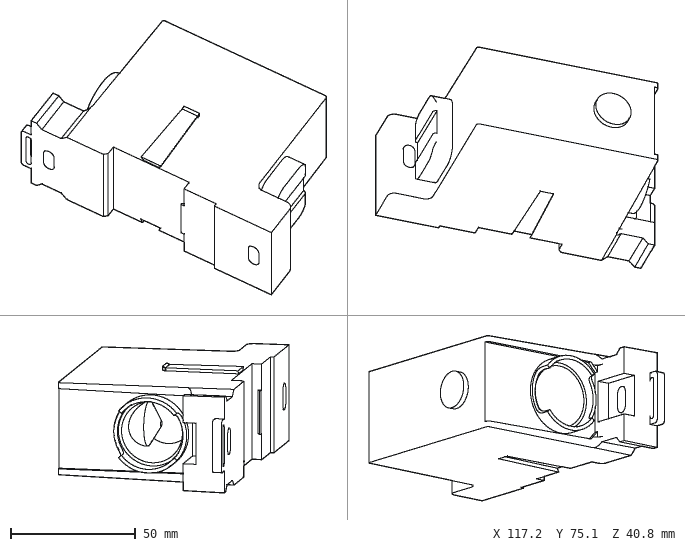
import cadquery as cq
import math

length = 117.2
width = 39.2
mid_z = width / 2
overlap = 1.2

body_left = 21.5
body_right = 99.9
body_top = 72.8
left_lean = 1.0
right_lean = 0.5
side_lean = 0.76
wall_draft = left_lean / body_top
right_draft = right_lean / body_top
side_draft = side_lean / body_top
body_corner_radius = 0.9

foot_left = 4.7
foot_top = 17.0
foot_root_radius = 3.0
foot_corner_radius = 2.9
slot_length = 10.8
slot_width = 4.9
left_slot_x = 13.0
right_slot_x = 108.9

rail_left = 40.0
rail_right = 75.5
rail_depth = 5.4
rail_lead_in = 1.4
rail_step_x = 90.5
rail_step_depth = 1.4
tooth_reach = 1.5
tooth_width = 17.8
tooth_tip_height = 0.6
tooth_height = 1.5

notch_depth = 2.5
notch_start = 7.3
notch_end = 21.5
notch_slope_start = 2.5
notch_slope_end = 2.7
gap_width = 16.8
gap_floor = 11.7

latch_width = 21.3
latch_height = 3.8
latch_corner_radius = 1.4
latch_slot_width = 2.3
latch_slot_length = 16.9

recess_depth = 1.6
recess_rim_top = 3.2
recess_rim_bottom = 3.6
recess_corner_y = 20.4
recess_foot_rim = 7.3
root_relief_top = 20.0
root_relief_rim = 4.7

entry_y = 34.5
collar_front = 17.0
collar_radius = 15.4
collar_inner_radius = 13.8
bore_radius = 12.5
bore_end_radius = 10.0
bore_start = 24.4
bore_end = 52.2
collar_half_angle = 51.5
collar_step_radius = 2.3
lower_gap_front = 20.0
upper_gap_front = 22.6

screw_x = 42.4
screw_radius = 9.3
screw_shoulder_y = 40.0
screw_tip_y = 34.9
screw_tip_radius = 1.2
cap_radius = 7.5
cap_height = 2.3

plug_end = 107.6
plug_y = 31.4
plug_height = 23.7
plug_width = 31.2
plug_corner_radius = 6.5
plug_edge_radius = 1.4
plug_channel_width = 11.0
plug_channel_depth = 1.4

rib_x = 57.4
rib_start = 5.7
rib_end = 37.0
rib_half_width = 4.7
rib_end_half_width = 3.6
rib_height = 1.4
groove_depth = 1.8
dovetail_undercut = 0.88
lip_length = 1.2
lip_top = 40.8


def wall_x(y):
    """X of the left housing wall at height y."""
    return body_left + wall_draft * y


def box(x0, x1, y0, y1, z0, z1):
    return cq.Workplane("XY").box(x1 - x0, y1 - y0, z1 - z0, centered=False).translate((x0, y0, z0))


def fillet_at(solid, x, y, radius):
    """Round the edge along Z that passes through (x, y)."""
    reach = 0.2
    corner = cq.selectors.BoxSelector((x - reach, y - reach, 0), (x + reach, y + reach, width))
    return solid.edges("|Z").edges(corner).fillet(radius)


def housing():
    right_top = body_right - right_lean
    right_root = body_right - right_draft * foot_top
    outline = [
        (foot_left, 0),
        (rail_left - rail_lead_in, 0),
        (rail_left, rail_lead_in),
        (rail_left, rail_depth),
        (rail_right, rail_depth),
        (rail_right, rail_step_depth),
        (rail_step_x, rail_step_depth),
        (rail_step_x, 0),
        (length, 0),
        (length, foot_top),
        (right_root, foot_top),
        (right_top, body_top),
        (wall_x(body_top), body_top),
        (wall_x(foot_top), foot_top),
        (foot_left, foot_top),
    ]
    solid = cq.Workplane("XY").polyline(outline).close().extrude(width)
    for x, y, radius in (
        (wall_x(foot_top), foot_top, foot_root_radius),
        (right_root, foot_top, foot_root_radius),
        (length, foot_top, foot_corner_radius),
        (right_top, body_top, body_corner_radius),
        (wall_x(body_top), body_top, body_corner_radius),
    ):
        solid = fillet_at(solid, x, y, radius)

    drafted = (
        cq.Workplane("YZ")
        .polyline([(0, 0), (body_top, side_lean), (body_top, width - side_lean), (0, width)])
        .close()
        .extrude(length)
    )
    return solid.intersect(drafted)


def rail_tooth():
    tip_x = rail_right - tooth_reach
    root_x = rail_right + overlap
    outline = [
        (root_x, rail_step_depth),
        (tip_x, rail_step_depth),
        (tip_x, rail_step_depth + tooth_tip_height),
        (rail_right, rail_step_depth + tooth_height),
        (root_x, rail_step_depth + tooth_height),
    ]
    bottom = cq.Workplane("XY", origin=(0, 0, mid_z - tooth_width / 2))
    return bottom.polyline(outline).close().extrude(tooth_width)


def mounting_slots():
    return (
        cq.Workplane("XZ", origin=(0, -overlap, mid_z))
        .pushPoints([(left_slot_x, 0), (right_slot_x, 0)])
        .slot2D(slot_length, slot_width, 90)
        .extrude(-(foot_top + 2 * overlap))
    )


def side_notch():
    """Notch at the bottom Z face; its housing-side slope leans with the left wall."""
    height = foot_top + foot_root_radius

    def section(y):
        end = notch_end + wall_draft * y
        outline = [
            (notch_start, 0),
            (notch_start + notch_slope_start, notch_depth),
            (end - notch_slope_end, notch_depth),
            (end, 0),
        ]
        return cq.Wire.makePolygon([cq.Vector(x, y, z) for x, z in outline], close=True)

    return cq.Workplane(cq.Solid.makeLoft([section(0), section(height)], True))


def mirrored(solid):
    """Copy of a solid on the other side of the middle of the width."""
    return solid.mirror("XY", (0, 0, mid_z))


def latch_loop():
    loop = box(0, foot_left + overlap, 0, latch_height, mid_z - latch_width / 2, mid_z + latch_width / 2)
    return loop.edges("|Y and <X").fillet(latch_corner_radius)


def latch_slot():
    return (
        cq.Workplane("XZ", origin=(foot_left - latch_slot_width / 2, 0, mid_z))
        .slot2D(latch_slot_length, latch_slot_width, 90)
        .extrude(-latch_height)
    )


def left_wall_pocket(half_outline, depth):
    """Pocket in the left wall, from the (Y, Z) corners of its lower half; its floor leans with the wall."""
    outline = half_outline + [(y, width - z) for y, z in reversed(half_outline)]
    opening = cq.Workplane("YZ").polyline(outline).close().extrude(body_right)
    top = body_top + overlap
    in_front_of_floor = (
        cq.Workplane("XY")
        .polyline([(0, 0), (wall_x(0) + depth, 0), (wall_x(top) + depth, top), (0, top)])
        .close()
        .extrude(width)
    )
    return opening.intersect(in_front_of_floor)


def wall_recess():
    """Shallow recess, open at the top and narrowed by slopes at the foot."""
    corners = [
        (body_top + overlap, recess_rim_top),
        (recess_corner_y, recess_rim_bottom),
        (foot_top, recess_foot_rim),
    ]
    return left_wall_pocket(corners, recess_depth)


def root_relief():
    """Removes the rounded foot root between the two Z sides, flush with the left wall."""
    return left_wall_pocket([(root_relief_top, root_relief_rim), (foot_top, root_relief_rim)], 0)


def entry_disc(start, end, radius):
    return cq.Workplane("YZ", origin=(start, entry_y, mid_z)).circle(radius).extrude(end - start)


def collar_gap(direction, depth_x):
    """Sector removed from one Y side of the collar, down to depth_x."""
    reach = 2 * collar_radius
    half_angle = math.radians(90 - collar_half_angle)
    y = direction * reach * math.cos(half_angle)
    z = reach * math.sin(half_angle)
    return (
        cq.Workplane("YZ", origin=(0, entry_y, mid_z))
        .polyline([(0, 0), (y, z), (y, -z)])
        .close()
        .extrude(depth_x)
    )


def collar():
    solid = entry_disc(collar_front, bore_start + overlap, collar_radius)
    solid = solid.cut(entry_disc(collar_front, bore_start, collar_inner_radius))
    for direction, depth_x in ((-1, lower_gap_front), (1, upper_gap_front)):
        solid = solid.cut(collar_gap(direction, depth_x))
        middle_radius = (collar_radius + collar_inner_radius) / 2
        y = entry_y + direction * middle_radius * math.sin(math.radians(collar_half_angle))
        rise = middle_radius * math.cos(math.radians(collar_half_angle))
        for z in (mid_z - rise, mid_z + rise):
            root = cq.selectors.NearestToPointSelector((depth_x, y, z))
            solid = solid.edges(root).fillet(collar_step_radius)
    return solid


def cable_bore():
    taper = (
        cq.Workplane("YZ", origin=(bore_start, entry_y, mid_z))
        .circle(bore_radius)
        .workplane(offset=bore_end - bore_start)
        .circle(bore_end_radius)
        .loft()
    )
    return taper.union(entry_disc(collar_front, bore_start, collar_inner_radius))


def clamping_screw():
    """Screw with a conical tip, ending in a cap on top of the housing."""
    cap_top = body_top + cap_height
    half_profile = [
        (0, screw_tip_y),
        (screw_tip_radius, screw_tip_y),
        (screw_radius, screw_shoulder_y),
        (screw_radius, body_top - overlap),
        (cap_radius, body_top - overlap),
        (cap_radius, cap_top),
        (0, cap_top),
    ]
    return (
        cq.Workplane("XY", origin=(screw_x, 0, mid_z))
        .polyline(half_profile)
        .close()
        .revolve(360, (0, 0, 0), (0, 1, 0))
    )


def right_plug():
    """Rounded block with two rounded end edges and a channel along Y across its outer end."""
    start = body_right - 2 * overlap
    depth = plug_end - start
    block = cq.Workplane("YZ", origin=(start, plug_y, mid_z)).rect(plug_height, plug_width).extrude(depth)
    rounded_end = block.edges("|Z and >X").fillet(plug_edge_radius)
    channel = box(
        plug_end - plug_channel_depth,
        plug_end,
        plug_y - plug_height / 2,
        plug_y + plug_height / 2,
        mid_z - plug_channel_width / 2,
        mid_z + plug_channel_width / 2,
    )
    return block.edges("|X").fillet(plug_corner_radius).intersect(rounded_end).cut(channel)


def dovetail(start_y, face_z, face_slope, height):
    """Tapered dovetail bar rising in +Z from a Z face that leans by face_slope per unit of Y."""

    def section(y, half_width):
        root = half_width - dovetail_undercut
        z = face_z + face_slope * y
        outline = [(-root, z - overlap), (root, z - overlap), (root, z), (half_width, z + height)]
        outline += [(-half_width, z + height), (-root, z)]
        return cq.Wire.makePolygon([cq.Vector(rib_x + x, y, z) for x, z in outline], close=True)

    ends = [section(start_y, rib_half_width), section(rib_end, rib_end_half_width)]
    return cq.Workplane(cq.Solid.makeLoft(ends, True))


def rib_lip():
    """Small wedge that rises to the far end of the rib."""
    lip_start = rib_end - lip_length
    rib_top = width - side_draft * lip_start + rib_height
    return (
        cq.Workplane("YZ", origin=(rib_x - rib_end_half_width, 0, 0))
        .polyline([(lip_start, width), (lip_start, rib_top), (rib_end, lip_top), (rib_end, width)])
        .close()
        .extrude(2 * rib_end_half_width)
    )


part = housing().union(rail_tooth()).cut(wall_recess()).cut(root_relief())
part = part.cut(side_notch()).cut(mirrored(side_notch()))
part = part.cut(
    box(foot_left, body_left, gap_floor, foot_top + overlap, mid_z - gap_width / 2, mid_z + gap_width / 2)
)
part = part.union(latch_loop()).cut(latch_slot()).cut(mounting_slots())
part = part.union(collar()).cut(cable_bore()).union(clamping_screw()).union(right_plug())
part = part.union(dovetail(rib_start, width, -side_draft, rib_height)).union(rib_lip())
part = part.cut(dovetail(rail_depth, 0, side_draft, groove_depth))

result = part